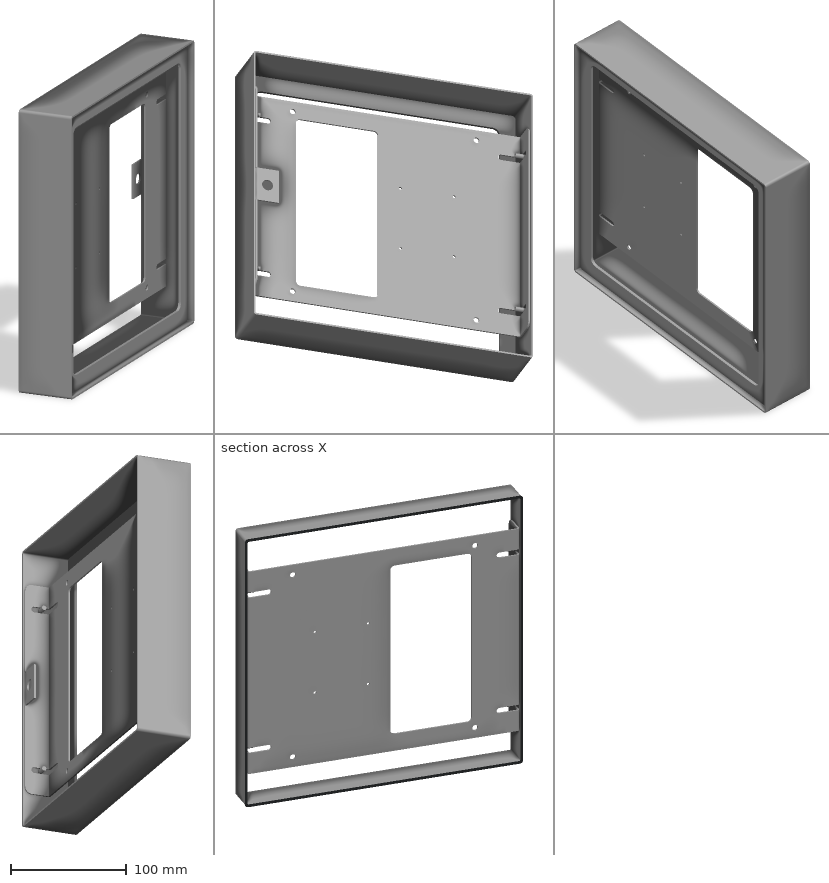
import cadquery as cq
SIZE = 255.0
DEPTH = 50.0
WALL = 1.5
CORNER_RADIUS = 2.5
FRONT_X = -DEPTH / 2
INNER_SIZE = SIZE - 2 * WALL
INNER_RADIUS = CORNER_RADIUS - WALL

PEG_DIAMETER = 4.0
PEG_LENGTH = 9.5
PEG_X = FRONT_X + 16.0
PEG_Z = 74.2

FRAME_X = FRONT_X + 42.0
FRAME_THICKNESS = 2.5
WINDOW_SIZE = 223.0
WINDOW_RADIUS = 6.5
FRAME_CORNER_RADIUS = 3.5

SHEET = 1.5
BEND_RADIUS = 2.3
CHASSIS_HEIGHT = 193.0
SIDE_GAP = 0.8
CHASSIS_HALF_WIDTH = INNER_SIZE / 2 - SIDE_GAP
PLATE_X = FRONT_X + 23.5
FLANGE_FRONT_X = FRONT_X + 1.3
FLANGE_CORNER_RADIUS = 6.0

SLOT_WIDTH = 5.0
SLOT_FRONT_X = FRONT_X + 7.1
SLOT_INNER_Y = 103.8

OPENING_WIDTH = 75.0
OPENING_HEIGHT = 161.0
OPENING_RADIUS = 4.0
OPENING_Y = 43.4
MOUNT_HOLE_DIAMETER = 5.0
MOUNT_HOLE_Y = 84.0
MOUNT_HOLE_Z = 87.0
SMALL_HOLE_DIAMETER = 2.5
SMALL_HOLE_Y = -39.0
SMALL_HOLE_PITCH_Y = 49.0
SMALL_HOLE_PITCH_Z = 58.0

TAB_HEIGHT = 31.0
TAB_INNER_Y = 104.0
TAB_HOLE_DIAMETER = 10.0
TAB_HOLE_Y = 114.5


def plane_at(x):
    """Plane across the part at x, with local axes along Y and Z and its normal along +X."""
    return cq.Workplane("YZ", origin=(x, 0, 0))


def block(x_start, x_end, y_start, y_end, height):
    """Box between two X and two Y positions, centred on Z = 0."""
    return cq.Workplane("XY").box(
        x_end - x_start, y_end - y_start, height, centered=(False, False, True)
    ).translate((x_start, y_start, 0))


def rounded_block(x_start, length, width, height, radius):
    """Block along X whose four long edges are rounded."""
    return plane_at(x_start).rect(width, height).extrude(length).edges("|X").fillet(radius)


def make_housing():
    tube = rounded_block(FRONT_X, DEPTH, SIZE, SIZE, CORNER_RADIUS)
    tube = tube.cut(rounded_block(FRONT_X, DEPTH, INNER_SIZE, INNER_SIZE, INNER_RADIUS))
    for side in (-1, 1):
        for z in (-PEG_Z, PEG_Z):
            start_y = side * (SIZE - WALL) / 2
            peg = cq.Solid.makeCylinder(
                PEG_DIAMETER / 2,
                PEG_LENGTH + WALL / 2,
                cq.Vector(PEG_X, start_y, z),
                cq.Vector(0, -side, 0),
            )
            tube = tube.union(cq.Workplane(peg))
    return tube


def make_back_frame():
    frame = rounded_block(FRAME_X, FRAME_THICKNESS, INNER_SIZE, INNER_SIZE, FRAME_CORNER_RADIUS)
    window = rounded_block(FRAME_X, FRAME_THICKNESS, WINDOW_SIZE, WINDOW_SIZE, WINDOW_RADIUS)
    return frame.cut(window)


def make_bent_sheet():
    """Plate with a forward flange along each side, bent with rounded inner and outer corners."""
    back_x = PLATE_X + SHEET
    inner_y = CHASSIS_HALF_WIDTH - SHEET
    outside = block(FLANGE_FRONT_X, back_x, -CHASSIS_HALF_WIDTH, CHASSIS_HALF_WIDTH, CHASSIS_HEIGHT)
    outside = outside.edges("|Z and >X").fillet(BEND_RADIUS)
    inside = block(FLANGE_FRONT_X, PLATE_X, -inner_y, inner_y, CHASSIS_HEIGHT)
    inside = inside.edges("|Z and >X").fillet(BEND_RADIUS - SHEET)
    return outside.cut(inside).edges("|Y and <X").fillet(FLANGE_CORNER_RADIUS)


def slot_cutter(side, z):
    """Slot in the plate and the flange on one side, round at its two ends."""
    radius = SLOT_WIDTH / 2
    back_x = PLATE_X + SHEET
    end_x = SLOT_FRONT_X + radius
    end_y = SLOT_INNER_Y + radius
    plate_front_x = back_x - BEND_RADIUS
    flange_start_y = CHASSIS_HALF_WIDTH - BEND_RADIUS
    plate_part = block(plate_front_x, back_x, end_y, CHASSIS_HALF_WIDTH, SLOT_WIDTH)
    plate_end = plane_at(plate_front_x).center(end_y, 0).circle(radius).extrude(BEND_RADIUS)
    flange_part = block(end_x, back_x, flange_start_y, CHASSIS_HALF_WIDTH, SLOT_WIDTH)
    flange_end = cq.Workplane(
        cq.Solid.makeCylinder(
            radius, BEND_RADIUS, cq.Vector(end_x, flange_start_y, 0), cq.Vector(0, 1, 0)
        )
    )
    cutter = plate_part.union(plate_end).union(flange_part).union(flange_end)
    if side < 0:
        cutter = cutter.mirror("XZ")
    return cutter.translate((0, 0, z))


def make_tab():
    """Tab parallel to the plate, joined to the flange by a rounded bend, with a round hole."""
    inner_y = CHASSIS_HALF_WIDTH - SHEET
    tab_back_x = FLANGE_FRONT_X + SHEET
    bend_end_x = FLANGE_FRONT_X + 2 * BEND_RADIUS
    outside = block(FLANGE_FRONT_X, bend_end_x, TAB_INNER_Y, CHASSIS_HALF_WIDTH, TAB_HEIGHT)
    outside = outside.edges("|Z and <X and >Y").fillet(BEND_RADIUS)
    inside = block(tab_back_x, bend_end_x, TAB_INNER_Y, inner_y, TAB_HEIGHT)
    inside = inside.edges("|Z and <X and >Y").fillet(BEND_RADIUS - SHEET)
    hole = plane_at(FLANGE_FRONT_X).center(TAB_HOLE_Y, 0).circle(TAB_HOLE_DIAMETER / 2).extrude(SHEET)
    return outside.cut(inside).cut(hole)


def make_chassis():
    chassis = make_bent_sheet()

    bend_space = block(
        FLANGE_FRONT_X,
        FLANGE_FRONT_X + BEND_RADIUS,
        CHASSIS_HALF_WIDTH - BEND_RADIUS,
        CHASSIS_HALF_WIDTH,
        TAB_HEIGHT,
    )
    chassis = chassis.cut(bend_space).union(make_tab())

    for side in (-1, 1):
        for z in (-PEG_Z, PEG_Z):
            chassis = chassis.cut(slot_cutter(side, z))

    opening = rounded_block(PLATE_X, SHEET, OPENING_WIDTH, OPENING_HEIGHT, OPENING_RADIUS)
    chassis = chassis.cut(opening.translate((0, OPENING_Y, 0)))

    plate = plane_at(PLATE_X)
    mount_holes = plate.rect(2 * MOUNT_HOLE_Y, 2 * MOUNT_HOLE_Z, forConstruction=True).vertices()
    chassis = chassis.cut(mount_holes.circle(MOUNT_HOLE_DIAMETER / 2).extrude(SHEET))
    small_holes = plate.center(SMALL_HOLE_Y, 0).rect(
        SMALL_HOLE_PITCH_Y, SMALL_HOLE_PITCH_Z, forConstruction=True
    ).vertices()
    return chassis.cut(small_holes.circle(SMALL_HOLE_DIAMETER / 2).extrude(SHEET))


housing = make_housing()
back_frame = make_back_frame()
chassis = make_chassis()

result = cq.Compound.makeCompound([housing.val(), back_frame.val(), chassis.val()])